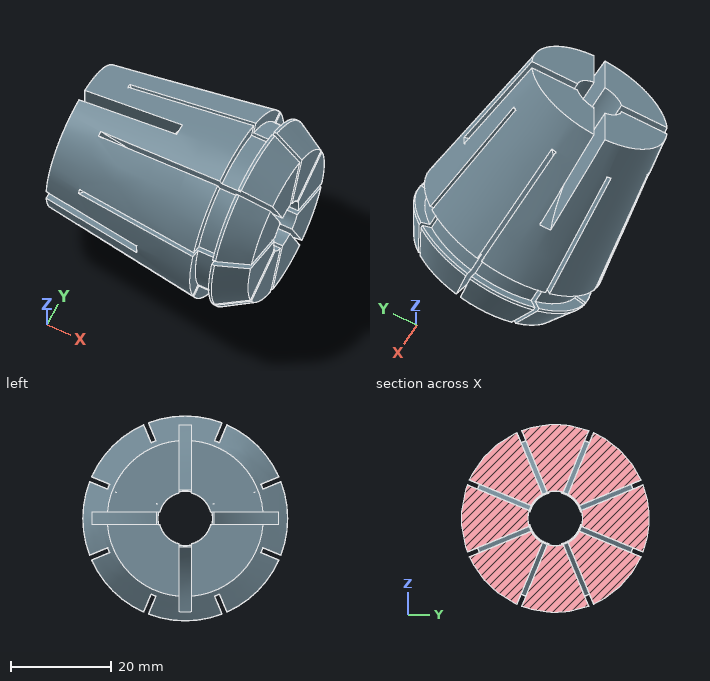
import cadquery as cq
import math

length = 46.0
max_radius = 20.495
cone_half_angle = 8.0
groove_start = 34.85
groove_end = 39.0
groove_radius = 18.05
head_radius = 20.3
head_land = 0.65
head_half_angle = 30.0

front_bore_radius = 5.2
rear_bore_radius = 5.45

wide_slot_count = 4
wide_slot_width = 2.5
wide_slot_inner_end = 13.3
cutter_radius = 21.7
cutter_x = 0.85
cutter_height = 23.5

narrow_slot_count = 8
narrow_slot_width = 1.0
narrow_slot_start = 7.3
narrow_slot_ramp_angle = 31.0

slot_clearance = 2.3
outside_radius = max_radius + slot_clearance


def cone_radius(x):
    return max_radius - (groove_start - x) * math.tan(math.radians(cone_half_angle))


def body():
    cone_rear_x = groove_end + head_land
    rear_radius = head_radius - (length - cone_rear_x) * math.tan(math.radians(head_half_angle))
    profile = [
        (0, front_bore_radius),
        (0, cone_radius(0)),
        (groove_start, max_radius),
        (groove_start, groove_radius),
        (groove_end, groove_radius),
        (groove_end, head_radius),
        (cone_rear_x, head_radius),
        (length, rear_radius),
        (length, rear_bore_radius),
        (wide_slot_inner_end, rear_bore_radius),
        (wide_slot_inner_end, front_bore_radius),
    ]
    return cq.Workplane("XY").polyline(profile).close().revolve(360, (0, 0, 0), (1, 0, 0))


def floor_height(x):
    """Distance from the axis to the floor arc of a wide slot."""
    return cutter_height - math.sqrt(cutter_radius**2 - (x - cutter_x) ** 2)


def wide_slot():
    """Slot open at the small end, its floor rising along an arc to the outside."""
    arc_end_x = cutter_x + cutter_radius
    arc_middle_x = (wide_slot_inner_end + arc_end_x) / 2
    return (
        cq.Workplane("XZ")
        .moveTo(0, 0)
        .lineTo(wide_slot_inner_end, 0)
        .lineTo(wide_slot_inner_end, floor_height(wide_slot_inner_end))
        .threePointArc((arc_middle_x, floor_height(arc_middle_x)), (arc_end_x, cutter_height))
        .lineTo(0, cutter_height)
        .close()
        .extrude(wide_slot_width / 2, both=True)
    )


def narrow_slot():
    """Slot open at the head, cut through to the bore, with a ramped end."""
    start_radius = cone_radius(narrow_slot_start)
    slope = math.tan(math.radians(narrow_slot_ramp_angle))
    outline = [
        (narrow_slot_start + start_radius * slope, 0),
        (narrow_slot_start, start_radius),
        (narrow_slot_start, outside_radius),
        (length, outside_radius),
        (length, 0),
    ]
    return cq.Workplane("XZ").polyline(outline).close().extrude(narrow_slot_width / 2, both=True)


def cut_around_axis(part, cutter, count, first_angle):
    for i in range(count):
        angle = first_angle + i * 360 / count
        part = part.cut(cutter.rotate((0, 0, 0), (1, 0, 0), angle))
    return part


result = body()
result = cut_around_axis(result, wide_slot(), wide_slot_count, 0)
result = cut_around_axis(result, narrow_slot(), narrow_slot_count, 180 / narrow_slot_count)